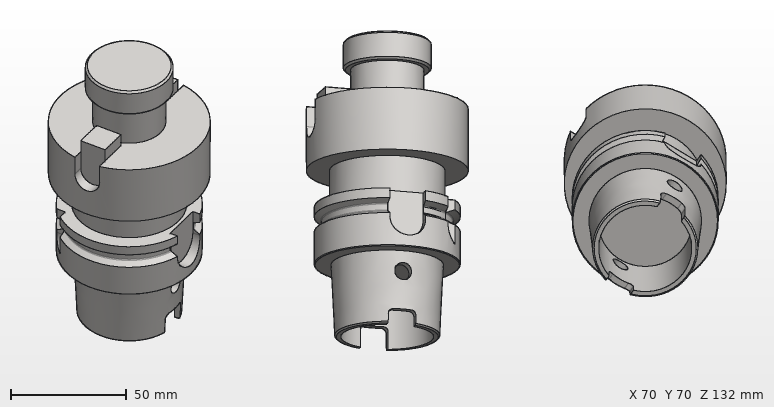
import cadquery as cq

overall_height = 132.0
taper_height = 32.1
groove_bottom = 46.9
groove_top = 53.6
flange_top = 58.0
collar_bottom = 74.3
collar_top = 102.0
spigot_top = 119.5

taper_large_diameter = 48.6
taper_ratio = 0.1
flange_diameter = 63.1
groove_diameter = 56.9
neck_diameter = 49.9
collar_diameter = 70.0
spigot_diameter = 31.7

taper_chamfer = 0.7
flange_chamfer = 0.4
groove_flank_height = 1.7
groove_fillet = 0.5

bore_diameter = 40.1
bore_depth = 29.0

cross_hole_diameter = 7.5
cross_hole_height = 23.1
tail_notch_width = 12.4
tail_notch_fillet = 2.2
tail_notch_heights = {-1: 6.3, 1: 10.2}

flange_slot_bottom = 37.2
flange_slot_widths = {-1: 16.1, 1: 18.5}
flange_slot_floor = 26.5
corner_notch_width = 16.1
corner_notch_wall = 20.0

key_width = 12.4
key_bottom = 86.9
key_top = 108.0
key_inner_end = 16.8
key_outer_end = 29.7

head_diameter = 38.0
head_chamfer = 0.9


def round_bottom_profile(plane, center, width, bottom, top):
    """U-shaped outline, round at the bottom and flat at the top."""
    half = width / 2
    arc_level = bottom + half
    return (
        cq.Workplane(plane)
        .moveTo(center - half, top)
        .lineTo(center - half, arc_level)
        .threePointArc((center, bottom), (center + half, arc_level))
        .lineTo(center + half, top)
        .close()
    )


def turned_blank():
    """Taper, grooved flange, neck, collar and spigot as one revolved profile."""
    taper_large = taper_large_diameter / 2
    taper_chamfer_radius = taper_large - taper_ratio / 2 * (taper_height - taper_chamfer)
    taper_small = taper_large - taper_ratio / 2 * taper_height
    flange = flange_diameter / 2
    groove = groove_diameter / 2
    neck = neck_diameter / 2
    collar = collar_diameter / 2
    spigot = spigot_diameter / 2
    outline = [
        (0, 0),
        (taper_small - taper_chamfer, 0),
        (taper_chamfer_radius, taper_chamfer),
        (taper_large, taper_height),
        (flange - flange_chamfer, taper_height),
        (flange, taper_height + flange_chamfer),
        (flange, groove_bottom),
        (groove, groove_bottom + groove_flank_height),
        (groove, groove_top - groove_flank_height),
        (flange, groove_top),
        (flange, flange_top),
        (neck, flange_top),
        (neck, collar_bottom),
        (collar, collar_bottom),
        (collar, collar_top),
        (spigot, collar_top),
        (spigot, spigot_top),
        (0, spigot_top),
    ]
    blank = cq.Workplane("XZ").polyline(outline).close().revolve(360, (0, 0), (0, 1))
    groove_floor_zone = cq.selectors.BoxSelector(
        (-flange, -flange, groove_bottom + groove_flank_height / 2),
        (flange, flange, groove_top - groove_flank_height / 2),
    )
    return blank.edges(groove_floor_zone).fillet(groove_fillet)


def taper_bore():
    return cq.Workplane("XY").circle(bore_diameter / 2).extrude(bore_depth)


def cross_hole():
    return (
        cq.Workplane("YZ")
        .center(0, cross_hole_height)
        .circle(cross_hole_diameter / 2)
        .extrude(taper_large_diameter / 2, both=True)
    )


def tail_notch(side):
    """Notch through the taper wall at its open end, with rounded upper corners."""
    length = taper_large_diameter / 2
    return (
        cq.Workplane("XY")
        .box(length, tail_notch_width, tail_notch_heights[side], centered=(True, True, False))
        .edges("|X and >Z")
        .fillet(tail_notch_fillet)
        .translate((side * length / 2, 0, 0))
    )


def flange_slot(side):
    length = flange_diameter / 2 - flange_slot_floor
    return (
        round_bottom_profile("YZ", 0, flange_slot_widths[side], flange_slot_bottom, flange_top)
        .extrude(side * length)
        .translate((side * flange_slot_floor, 0, 0))
    )


def corner_notch():
    """Slot along X at the -X, -Y corner whose floor and side wall form a square corner."""
    center = -corner_notch_wall - corner_notch_width / 2
    length = flange_diameter / 2 - corner_notch_wall
    return (
        round_bottom_profile("YZ", center, corner_notch_width, flange_slot_bottom, flange_top)
        .extrude(-length)
        .translate((-corner_notch_wall, 0, 0))
    )


def key_shape(side, outer_end, top):
    """Round-bottomed bar from the key's inner end to the given outer end."""
    return (
        round_bottom_profile("XZ", 0, key_width, key_bottom, top)
        .extrude(-side * (outer_end - key_inner_end))
        .translate((0, side * key_inner_end, 0))
    )


def make_holder():
    holder = turned_blank().cut(taper_bore()).cut(cross_hole()).cut(corner_notch())
    for side in (-1, 1):
        holder = holder.cut(tail_notch(side))
        holder = holder.cut(flange_slot(side))
        holder = holder.cut(key_shape(side, collar_diameter / 2, collar_top))
    return holder


def make_drive_key(side):
    return key_shape(side, key_outer_end, key_top)


def make_screw_head():
    return (
        cq.Workplane("XY")
        .workplane(offset=spigot_top)
        .circle(head_diameter / 2)
        .extrude(overall_height - spigot_top)
        .faces("<Z or >Z")
        .chamfer(head_chamfer)
    )


holder = make_holder()
drive_keys = [make_drive_key(side) for side in (-1, 1)]
screw_head = make_screw_head()

result = cq.Compound.makeCompound(
    [
        holder.solids().val(),
        *[key.val() for key in drive_keys],
        screw_head.solids().val(),
    ]
)